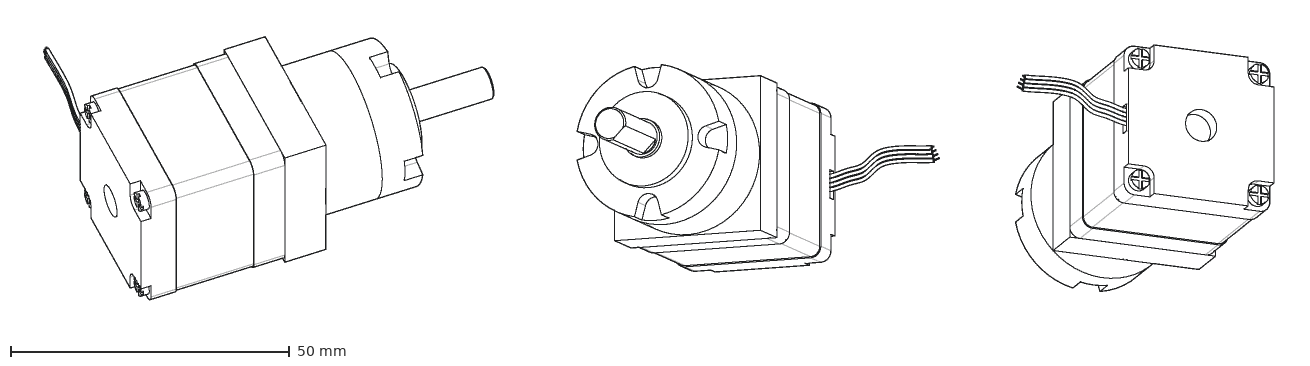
import cadquery as cq
import math


TOTAL_LENGTH = 73.5
REAR_CAP_LENGTH = 6.9
STATOR_LENGTH = 15.1
FRONT_CAP_LENGTH = 6.0
ADAPTER_LENGTH = 8.0
RING_LENGTH = 11.0
COVER_LENGTH = 8.0
PILOT_LENGTH = 2.0
COLLAR_LENGTH = 1.0

STATOR_START = REAR_CAP_LENGTH
FRONT_CAP_START = STATOR_START + STATOR_LENGTH
ADAPTER_START = FRONT_CAP_START + FRONT_CAP_LENGTH
RING_START = ADAPTER_START + ADAPTER_LENGTH
COVER_START = RING_START + RING_LENGTH
COVER_END = COVER_START + COVER_LENGTH
PILOT_END = COVER_END + PILOT_LENGTH
COLLAR_END = PILOT_END + COLLAR_LENGTH
SHAFT_LENGTH = TOTAL_LENGTH - COLLAR_END

MOTOR_WIDTH = 28.2
MOTOR_CORNER_RADIUS = 2.0
STATOR_INSET = 0.2
HALF_WIDTH = MOTOR_WIDTH / 2
REAR_BORE_DIAMETER = 6.0
REAR_BORE_DEPTH = 3.0

POCKET_SIZE = 5.0
POCKET_DEPTH = 2.0
POCKET_CORNER_RADIUS = 2.0
SCREW_SPACING = 23.0
SCREW_HEAD_DIAMETER = 3.5
SCREW_HEAD_HEIGHT = 1.55
SCREW_SLOT_WIDTH = 0.65
SCREW_SLOT_DEPTH = 0.45

CABLE_Y = 1.7
CABLE_SLOT_LENGTH = 1.6
CABLE_SLOT_HEIGHT = 5.15
CABLE_SLOT_DEPTH = 1.0
WIRE_EMBEDMENT = 1.0
WIRE_COUNT = 4
WIRE_DIAMETER = 0.7
WIRE_STEP_X = 0.15
WIRE_STEP_Z = 0.8
CORE_DIAMETER = 0.2
CORE_RISE_ANGLE = 20.0
CORE_ROOT = 0.15
CORE_LENGTHS = [1.1, 0.95, 0.7, 0.45]
CABLE_COURSE = [
    (-33.65, 4.25),
    (-29.8, 4.5),
    (-25.9, 4.55),
    (-23.0, 3.9),
    (-20.2, 1.85),
    (-17.65, 1.25),
    (-HALF_WIDTH, 0.4),
]

RING_DIAMETER = 27.9
PILOT_DIAMETER = 17.2
COLLAR_DIAMETER = 7.0
SHAFT_DIAMETER = 6.0
SHAFT_CHAMFER = 0.3
FLAT_DISTANCE = 2.5
FLAT_RUNOUT = 0.6
FLAT_ANGLE = 45.0
NOTCH_COUNT = 4
NOTCH_LENGTH = 3.6
NOTCH_MOUTH_WIDTH = 5.2
NOTCH_ROOT_RADIUS = 2.0
NOTCH_FLANK_ANGLE = 15.0
NOTCH_OVERRUN = 0.7


def plane_at(y):
    """Plane across the axis at the given Y, with local axes X and Z, facing -Y."""
    return cq.Workplane("XZ", origin=(0, y, 0))


def disc(diameter, start, length):
    return plane_at(start).circle(diameter / 2).extrude(-length)


def square_block(width, start, length):
    return plane_at(start).rect(width, width).extrude(-length)


def corner_signs():
    return [(sx, sz) for sx in (-1, 1) for sz in (-1, 1)]


def make_housing():
    stator_width = MOTOR_WIDTH - 2 * STATOR_INSET
    stator_radius = MOTOR_CORNER_RADIUS - STATOR_INSET
    rear_cap = square_block(MOTOR_WIDTH, 0, REAR_CAP_LENGTH).edges("|Y").fillet(MOTOR_CORNER_RADIUS)
    stator = square_block(stator_width, STATOR_START, STATOR_LENGTH).edges("|Y").fillet(stator_radius)
    front_cap = square_block(MOTOR_WIDTH, FRONT_CAP_START, FRONT_CAP_LENGTH)
    front_cap = front_cap.edges("|Y").fillet(MOTOR_CORNER_RADIUS)
    bore = disc(REAR_BORE_DIAMETER, 0, REAR_BORE_DEPTH)
    return rear_cap.union(stator).union(front_cap).cut(bore)


def make_corner_pockets():
    corners = [(sx * HALF_WIDTH, sz * HALF_WIDTH) for sx, sz in corner_signs()]
    cutters = plane_at(0).pushPoints(corners).rect(2 * POCKET_SIZE, 2 * POCKET_SIZE).extrude(-POCKET_DEPTH)
    return cutters.edges("|Y").fillet(POCKET_CORNER_RADIUS)


def make_screw_heads():
    centres = [(sx * SCREW_SPACING / 2, sz * SCREW_SPACING / 2) for sx, sz in corner_signs()]
    head_top = POCKET_DEPTH - SCREW_HEAD_HEIGHT
    heads = plane_at(head_top).pushPoints(centres).circle(SCREW_HEAD_DIAMETER / 2).extrude(-SCREW_HEAD_HEIGHT)
    for slot_size in ((SCREW_HEAD_DIAMETER, SCREW_SLOT_WIDTH), (SCREW_SLOT_WIDTH, SCREW_HEAD_DIAMETER)):
        slots = plane_at(head_top).pushPoints(centres).rect(*slot_size).extrude(-SCREW_SLOT_DEPTH)
        heads = heads.cut(slots)
    return heads


def make_cable_slot():
    size = (2 * CABLE_SLOT_DEPTH, CABLE_SLOT_LENGTH, CABLE_SLOT_HEIGHT)
    return cq.Workplane("XY").box(*size).translate((-HALF_WIDTH, CABLE_Y, 0))


def make_core(wire_end, bare_length):
    """Bare core that rises from a wire end towards -X, rooted a little inside the insulation."""
    rise = math.radians(CORE_RISE_ANGLE)
    direction = cq.Vector(-math.cos(rise), 0, math.sin(rise))
    root = wire_end - direction * CORE_ROOT
    return cq.Workplane(cq.Solid.makeCylinder(CORE_DIAMETER / 2, CORE_ROOT + bare_length, root, direction))


def make_wire(index):
    """One insulated wire, running into the floor of the cable slot, with its bare core."""
    offset = index - (WIRE_COUNT - 1) / 2
    shift_x = offset * WIRE_STEP_X
    shift_z = offset * WIRE_STEP_Z
    points = [cq.Vector(x + shift_x, CABLE_Y, z + shift_z) for x, z in CABLE_COURSE]
    inner_end = points[-1] + cq.Vector(CABLE_SLOT_DEPTH + WIRE_EMBEDMENT, 0, 0)
    course = cq.Edge.makeSpline(points + [inner_end])
    start = course.startPoint()
    section = cq.Workplane(cq.Plane(start, xDir=(0, 1, 0), normal=course.tangentAt(0)))
    insulation = section.circle(WIRE_DIAMETER / 2).sweep(cq.Workplane(cq.Wire.assembleEdges([course])))
    return insulation.union(make_core(start, CORE_LENGTHS[index]))


def make_motor():
    """Housing in one piece with its screw heads and cable."""
    motor = make_housing().cut(make_corner_pockets()).union(make_screw_heads()).cut(make_cable_slot())
    for index in range(WIRE_COUNT):
        motor = motor.union(make_wire(index))
    return motor


def make_adapter():
    return square_block(MOTOR_WIDTH, ADAPTER_START, ADAPTER_LENGTH)


def make_ring():
    return disc(RING_DIAMETER, RING_START, RING_LENGTH)


def make_notch():
    """Cutter for the notch at +Z: flanks that narrow inwards and a round root tangent to them."""
    flank = math.radians(NOTCH_FLANK_ANGLE)
    mouth_half = NOTCH_MOUTH_WIDTH / 2
    mouth_z = math.sqrt((RING_DIAMETER / 2) ** 2 - mouth_half ** 2)
    tangent_half = NOTCH_ROOT_RADIUS * math.cos(flank)
    tangent_z = mouth_z - (mouth_half - tangent_half) / math.tan(flank)
    root_z = tangent_z + NOTCH_ROOT_RADIUS * math.sin(flank) - NOTCH_ROOT_RADIUS
    outer_z = RING_DIAMETER / 2 + NOTCH_OVERRUN
    outer_half = mouth_half + (outer_z - mouth_z) * math.tan(flank)
    outline = (
        plane_at(COVER_END - NOTCH_LENGTH)
        .moveTo(-outer_half, outer_z)
        .lineTo(-tangent_half, tangent_z)
        .threePointArc((0, root_z), (tangent_half, tangent_z))
        .lineTo(outer_half, outer_z)
        .close()
    )
    return outline.extrude(-NOTCH_LENGTH)


def make_shaft():
    shaft = disc(SHAFT_DIAMETER, COLLAR_END, SHAFT_LENGTH).faces(">Y").chamfer(SHAFT_CHAMFER)
    flat_length = SHAFT_LENGTH - FLAT_RUNOUT
    cut_height = SHAFT_DIAMETER / 2
    flat = (
        plane_at(COLLAR_END + FLAT_RUNOUT)
        .center(0, -FLAT_DISTANCE - cut_height / 2)
        .rect(SHAFT_DIAMETER, cut_height)
        .extrude(-flat_length)
        .rotate((0, 0, 0), (0, 1, 0), FLAT_ANGLE)
    )
    return shaft.cut(flat)


def make_output_cover():
    """Notched end cover in one piece with its pilot, collar and shaft."""
    cover = disc(RING_DIAMETER, COVER_START, COVER_LENGTH)
    for index in range(NOTCH_COUNT):
        cover = cover.cut(make_notch().rotate((0, 0, 0), (0, 1, 0), index * 360 / NOTCH_COUNT))
    pilot = disc(PILOT_DIAMETER, COVER_END, PILOT_LENGTH)
    collar = disc(COLLAR_DIAMETER, PILOT_END, COLLAR_LENGTH)
    return cover.union(pilot).union(collar).union(make_shaft())


motor = make_motor()
adapter = make_adapter()
ring = make_ring()
output_cover = make_output_cover()

result = cq.Compound.makeCompound([motor.val(), adapter.val(), ring.val(), output_cover.val()])